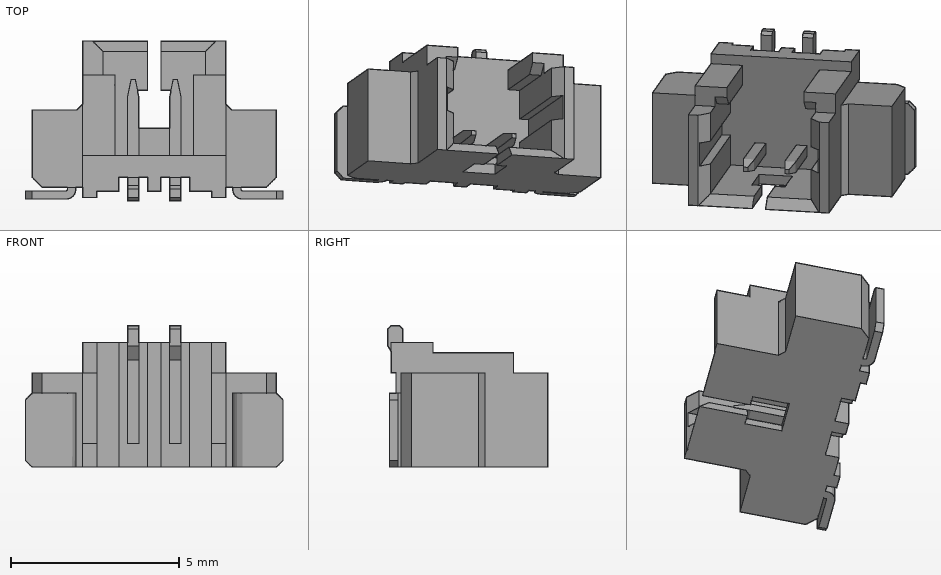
import cadquery as cq


body_width = 4.25
body_length = 4.65
rear_height = 3.7
rear_length = 1.25
lip_height = 3.4
lip_front = 3.64
mouth_height = 2.8

floor_thickness = 0.3
cavity_width = 3.05
lip_gap = 2.33
lip_bevel = 0.3
mouth_chamfer = 0.31
groove_depth = 0.27
groove_bottom = 1.22
groove_top = 1.93
window_width = 1.0
window_start = 2.06
window_end = 3.18
key_slot_width = 0.4

post_width = 0.42
panel_setback = 0.18
notch_depth = 0.14
notch_bottom = 0.7
pin_slot_width = 0.85
pin_slot_depth = 0.6

ear_span = 7.25
ear_rear = 0.3
ear_front = 2.6
ear_chamfer = 0.3
ear_gusset = 0.18

tab_span = 7.65
tab_height = 2.2
tab_thickness = 0.25
tab_outer_face = -0.05
tab_bend_x = 2.325
tab_bend_radius = 0.3
tab_corner_chamfer = 0.2

pin_pitch = 1.25
pin_width = 0.33
pin_bottom = 0.7
pin_top = 4.2
pin_head_rear = -0.1
pin_head_front = 0.35
pin_head_chamfer = 0.1
pin_shank_rear = 0.15
pin_head_taper_top = 3.6
pin_head_taper_bottom = 3.18
pin_taper_start = 3.0
pin_tip_y = 3.5
pin_tip_width = 0.13

half_body = body_width / 2
pin_positions = (-pin_pitch / 2, pin_pitch / 2)


def box(x_range, y_range, z_range):
    """Axis-aligned box between the given limits."""
    size = [high - low for low, high in (x_range, y_range, z_range)]
    corner = (x_range[0], y_range[0], z_range[0])
    return cq.Workplane("XY").box(*size, centered=False).translate(corner)


def centered_box(width, y_range, z_range):
    """Box symmetric about the YZ plane."""
    return box((-width / 2, width / 2), y_range, z_range)


def side_profile(points, width, x_center=0):
    """Extrude a (y, z) outline to the given width about x_center."""
    profile = cq.Workplane("YZ").polyline(points).close()
    return profile.extrude(width / 2, both=True).translate((x_center, 0, 0))


def plan_profile(points, height):
    """Extrude an (x, y) outline upward from the base plane."""
    return cq.Workplane("XY").polyline(points).close().extrude(height)


def with_mirror(shape):
    """The shape together with its mirror image across the YZ plane."""
    return shape.union(shape.mirror("YZ"))


def make_block():
    """Stepped housing block, highest at the solder side."""
    outline = [
        (0, 0),
        (body_length, 0),
        (body_length, mouth_height),
        (lip_front, mouth_height),
        (lip_front, lip_height),
        (rear_length, lip_height),
        (rear_length, rear_height),
        (0, rear_height),
    ]
    return side_profile(outline, body_width)


def make_ears():
    """Solid ears on both sides, with a chamfered rear corner and a small gusset in front."""
    half_span = ear_span / 2
    outline = [
        (0, ear_rear),
        (half_span - ear_chamfer, ear_rear),
        (half_span, ear_rear + ear_chamfer),
        (half_span, ear_front),
        (half_body + ear_gusset, ear_front),
        (half_body, ear_front + ear_gusset),
        (0, ear_front + ear_gusset),
    ]
    return with_mirror(plan_profile(outline, mouth_height))


def make_cavity():
    """Open-topped mating cavity with overhanging lips, side grooves and a flared mouth."""
    along = (rear_length, body_length)
    half_cavity = cavity_width / 2
    cavity = centered_box(cavity_width, along, (floor_thickness, mouth_height))
    cavity = cavity.union(centered_box(lip_gap, along, (floor_thickness, lip_height)))

    lip_bevel_profile = [
        (lip_front - lip_bevel, mouth_height),
        (lip_front, mouth_height),
        (lip_front, mouth_height + lip_bevel),
    ]
    cavity = cavity.union(side_profile(lip_bevel_profile, cavity_width))

    groove_width = cavity_width + 2 * groove_depth
    cavity = cavity.union(centered_box(groove_width, along, (groove_bottom, groove_top)))

    mouth_start = body_length - mouth_chamfer
    side_flare = [
        (0, mouth_start),
        (half_cavity, mouth_start),
        (half_cavity + mouth_chamfer, body_length),
        (0, body_length),
    ]
    floor_flare = [
        (mouth_start, floor_thickness),
        (body_length, floor_thickness - mouth_chamfer),
        (body_length, mouth_height),
        (mouth_start, mouth_height),
    ]
    flare = with_mirror(plan_profile(side_flare, mouth_height))
    flare = flare.intersect(side_profile(floor_flare, body_width))
    return cavity.union(flare)


def make_floor_openings():
    """Window through the cavity floor and the key slot that runs from it to the mouth."""
    through = (0, floor_thickness)
    window = centered_box(window_width, (window_start, window_end), through)
    return window.union(centered_box(key_slot_width, (window_end, body_length), through))


def make_solder_side_cuts():
    """Set the panel back between the corner posts, notch the posts and cut the pin slots."""
    full_height = (0, rear_height)
    cuts = centered_box(body_width - 2 * post_width, (0, panel_setback), full_height)
    cuts = cuts.union(centered_box(body_width, (0, notch_depth), (notch_bottom, mouth_height)))
    for x in pin_positions:
        x_range = (x - pin_slot_width / 2, x + pin_slot_width / 2)
        cuts = cuts.union(box(x_range, (0, pin_slot_depth), full_height))
    return cuts


def make_tabs():
    """L-bent solder tabs that leave the ears and turn outward."""
    half_span = tab_span / 2
    inner_face = tab_outer_face + tab_thickness
    inner_radius = tab_bend_radius - tab_thickness
    leg_outer_x = tab_bend_x + tab_thickness
    leg_end = ear_front / 2
    bend_center_x = tab_bend_x + tab_bend_radius
    bend_center_y = tab_outer_face + tab_bend_radius
    tab = (
        cq.Workplane("XY")
        .moveTo(half_span, tab_outer_face)
        .lineTo(bend_center_x, tab_outer_face)
        .radiusArc((tab_bend_x, bend_center_y), tab_bend_radius)
        .lineTo(tab_bend_x, leg_end)
        .lineTo(leg_outer_x, leg_end)
        .lineTo(leg_outer_x, bend_center_y)
        .radiusArc((bend_center_x, inner_face), -inner_radius)
        .lineTo(half_span, inner_face)
        .close()
        .extrude(tab_height)
    )
    tab = tab.faces(">X").edges("|Y").chamfer(tab_corner_chamfer)
    return with_mirror(tab)


def make_pin(x):
    """Contact pin: upright solder leg with an offset head, and a pointed bar into the cavity."""
    leg = side_profile(
        [
            (pin_shank_rear, pin_bottom),
            (pin_slot_depth, pin_bottom),
            (pin_slot_depth, pin_head_taper_bottom),
            (pin_head_front, pin_head_taper_top),
            (pin_head_front, pin_top - pin_head_chamfer),
            (pin_head_front - pin_head_chamfer, pin_top),
            (pin_head_rear + pin_head_chamfer, pin_top),
            (pin_head_rear, pin_top - pin_head_chamfer),
            (pin_head_rear, pin_head_taper_top),
            (pin_shank_rear, pin_head_taper_bottom),
        ],
        pin_width,
        x,
    )
    x_range = (x - pin_width / 2, x + pin_width / 2)
    bar = box(x_range, (pin_shank_rear, pin_taper_start), (pin_bottom, pin_bottom + pin_width))
    point = (
        cq.Workplane("XZ", origin=(x, pin_taper_start, pin_bottom + pin_width / 2))
        .rect(pin_width, pin_width)
        .workplane(offset=pin_taper_start - pin_tip_y)
        .rect(pin_tip_width, pin_tip_width)
        .loft()
    )
    return leg.union(bar).union(point)


result = make_block().union(make_ears())
result = result.cut(make_cavity()).cut(make_floor_openings()).cut(make_solder_side_cuts())
result = result.union(make_tabs())
for pin_x in pin_positions:
    result = result.union(make_pin(pin_x))